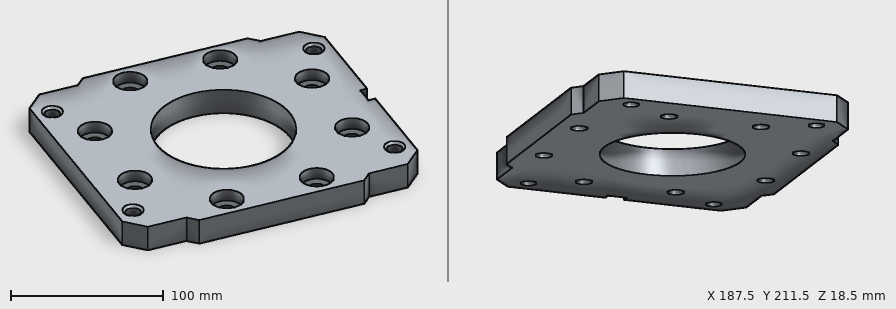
import cadquery as cq

length = 211.5
width = 187.5
thickness = 18.5
end_width = 174.7
corner_chamfer = 12.7
wide_length = 130.7
wide_flat_length = 118.5

notch_width = 13.1
notch_depth = 4.9

bore_diameter = 95.2
bolt_circle_diameter = 168.4
bolt_count = 8
bolt_hole_diameter = 11.0
counterbore_diameter = 22.5
counterbore_depth = 8.5
corner_spacing_x = 129.9
corner_spacing_y = 187.5
corner_hole_diameter = 10.4
corner_countersink_diameter = 14.0
countersink_angle = 90.0


def plate():
    """Chamfered plate with a wider middle stretch, standing on Z = 0."""
    body = (
        cq.Workplane("XY")
        .rect(end_width, length)
        .extrude(thickness)
        .edges("|Z")
        .chamfer(corner_chamfer)
    )
    wide_part = (
        cq.Workplane("XY")
        .rect(width, wide_length)
        .extrude(thickness)
        .edges("|Z")
        .chamfer((wide_length - wide_flat_length) / 2, (width - end_width) / 2)
    )
    return body.union(wide_part)


def notch():
    """Block that cuts the notch through the full thickness."""
    return (
        cq.Workplane("XY")
        .center(0, length / 2 - notch_depth / 2)
        .rect(notch_width, notch_depth)
        .extrude(thickness)
    )


result = plate().cut(notch())

result = result.faces(">Z").workplane(origin=(0, 0, 0)).hole(bore_diameter)

result = (
    result.faces(">Z")
    .workplane(origin=(0, 0, 0))
    .polarArray(bolt_circle_diameter / 2, 180 / bolt_count, 360, bolt_count)
    .cboreHole(bolt_hole_diameter, counterbore_diameter, counterbore_depth)
)

result = (
    result.faces(">Z")
    .workplane(origin=(0, 0, 0))
    .rect(corner_spacing_x, corner_spacing_y, forConstruction=True)
    .vertices()
    .cskHole(corner_hole_diameter, corner_countersink_diameter, countersink_angle)
)